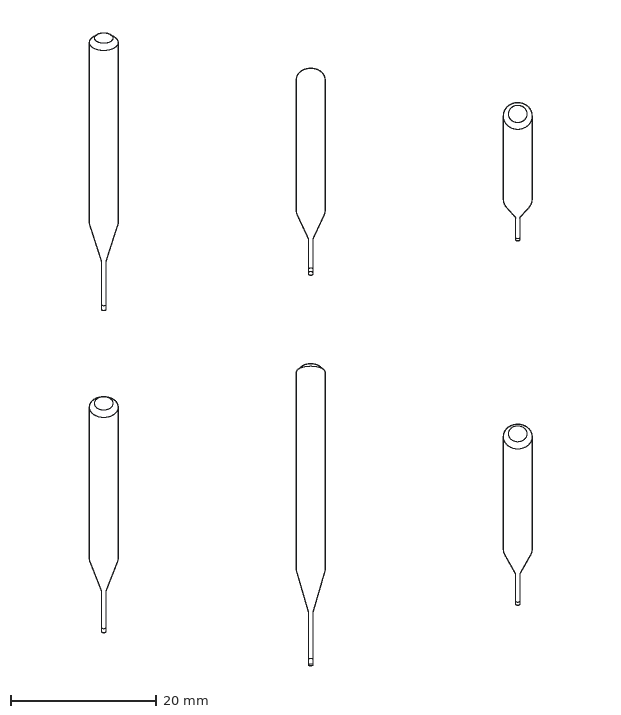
import cadquery as cq

total_length = 45.0
shank_radius = 2.002
end_chamfer = 0.7

tip_radius = 0.338
tip_length = 0.8

neck_radius = 0.3
neck_relief_length = 0.15
neck_top = 7.8

collar_radius = 0.338
collar_top = 8.0
cone_top = 14.3


def make_cutting_tip():
    """Plain cylinder at the bottom end of the tool."""
    return cq.Workplane("XY").circle(tip_radius).extrude(tip_length)


def make_shank():
    """Neck, cone and chamfered shank, revolved as one body about Z."""
    profile = [
        (0, tip_length),
        (tip_radius, tip_length),
        (neck_radius, tip_length + neck_relief_length),
        (neck_radius, neck_top),
        (collar_radius, collar_top),
        (shank_radius, cone_top),
        (shank_radius, total_length - end_chamfer),
        (shank_radius - end_chamfer, total_length),
        (0, total_length),
    ]
    return cq.Workplane("XZ").polyline(profile).close().revolve(360, (0, 0, 0), (0, 1, 0))


cutting_tip = make_cutting_tip()
shank = make_shank()

result = cq.Compound.makeCompound([cutting_tip.val(), shank.val()])